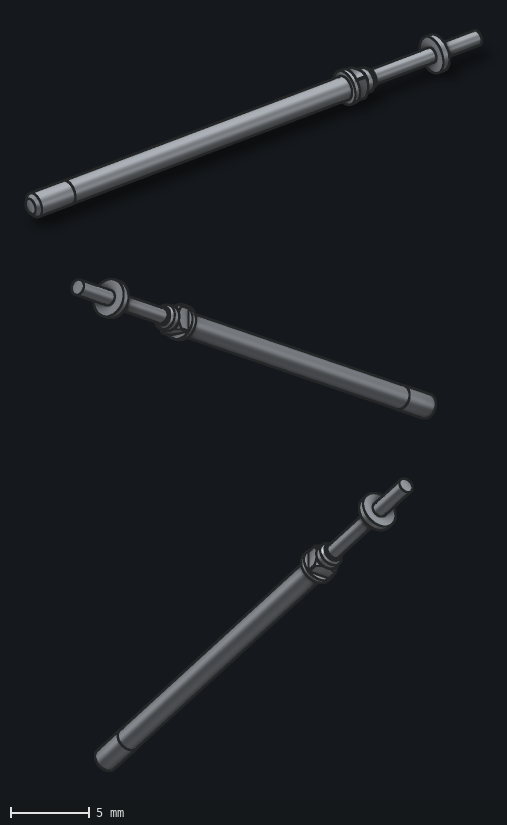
import cadquery as cq

total_length = 36.18
tip_chamfer = 0.3
tip_sleeve_end = 3.0
collar_front = 25.45
collar_thickness = 0.35
square_end = 26.75
cone_start = 27.2
cone_end = 27.42
shoulder = 27.57
disc_front = 32.5
disc_thickness = 0.5

barrel_diameter = 1.6
tip_sleeve_diameter = 1.63
neck_diameter = 1.63
shoulder_diameter = 1.23
rod_diameter = 1.0
collar_diameter = 2.28
disc_diameter = 2.45

across_flats = 1.6
across_corners = 2.17
corner_bevel = 0.2

collar_back = collar_front + collar_thickness


def cylinder(diameter, start, end):
    """Solid cylinder on the Y axis between two positions."""
    return cq.Workplane("XZ", origin=(0, start, 0)).circle(diameter / 2).extrude(start - end)


def tip_sleeve():
    """Slightly thicker front end of the barrel with a chamfered tip."""
    return cylinder(tip_sleeve_diameter, 0, tip_sleeve_end).faces("<Y").chamfer(tip_chamfer)


def square_section():
    """Square with rounded corners that are bevelled towards the neck."""
    length = square_end - collar_back
    square = cq.Workplane("XY", origin=(0, collar_back, 0)).box(
        across_flats, length, across_flats, centered=(True, False, True)
    )
    envelope = cylinder(across_corners, collar_back, square_end).faces(">Y").chamfer(corner_bevel)
    return square.intersect(envelope)


def neck():
    """Round neck that tapers down to a small shoulder around the rod."""
    profile = [
        (0, square_end),
        (neck_diameter / 2, square_end),
        (neck_diameter / 2, cone_start),
        (shoulder_diameter / 2, cone_end),
        (shoulder_diameter / 2, shoulder),
        (0, shoulder),
    ]
    return cq.Workplane("XY").polyline(profile).close().revolve(360, (0, 0), (0, 1))


barrel = cylinder(barrel_diameter, tip_sleeve_end, collar_front)
collar = cylinder(collar_diameter, collar_front, collar_back)
rod = cylinder(rod_diameter, shoulder, total_length)
disc = cylinder(disc_diameter, disc_front, disc_front + disc_thickness)

result = tip_sleeve()
for section in (barrel, collar, square_section(), neck(), rod, disc):
    result = result.union(section)